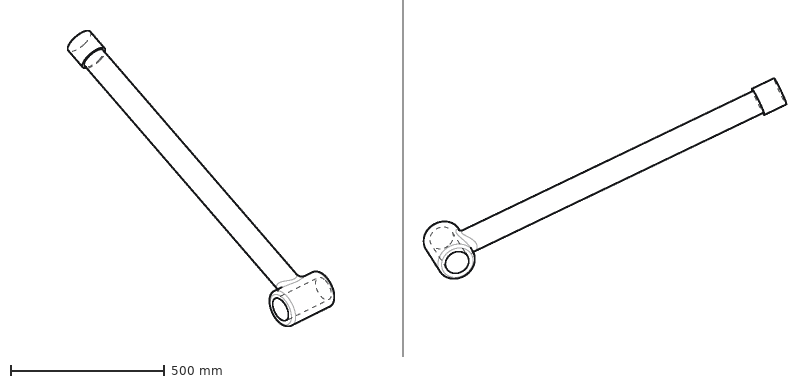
import cadquery as cq
import math

hub_diameter = 127.0
hub_length = 182.0
hub_bore = 80.0
hub_edge_radius = 10.0

arm_diameter = 80.0
arm_reach = 1200.0
arm_angle = 20.4
weld_radius = 23.0

cap_diameter = 95.0
cap_length = 80.0
cap_start = arm_reach - cap_length

arm_slope = math.radians(arm_angle)
arm_direction = cq.Vector(-math.cos(arm_slope), 0, math.sin(arm_slope))


def arm_cylinder(diameter, start, length):
    """Cylinder on the arm axis, beginning at a distance from the hub axis."""
    return cq.Workplane(
        cq.Solid.makeCylinder(diameter / 2, length, arm_direction * start, arm_direction)
    )


def hub_cylinder(diameter):
    """Cylinder along Y over the full hub length."""
    near_end = cq.Workplane("XZ", origin=(0, -hub_length / 2, 0))
    return near_end.circle(diameter / 2).extrude(-hub_length)


def make_hub():
    """Solid hub with rounded outer rims."""
    hub = hub_cylinder(hub_diameter)
    return hub.faces("<Y or >Y").edges().fillet(hub_edge_radius)


def join_arm(hub):
    """Add the arm and round the seam where it meets the hub."""
    joined = hub.union(arm_cylinder(arm_diameter, 0, cap_start))
    seam_zone = cq.selectors.BoxSelector(
        (-hub_diameter, -arm_diameter, -hub_diameter),
        (-hub_diameter / 4, arm_diameter, hub_diameter),
    )
    seam = joined.edges(seam_zone).edges("not(%CIRCLE or %LINE)")
    return seam.fillet(weld_radius)


body = join_arm(make_hub())
cap = arm_cylinder(cap_diameter, cap_start, cap_length)
bore = hub_cylinder(hub_bore)

result = body.union(cap).cut(bore)